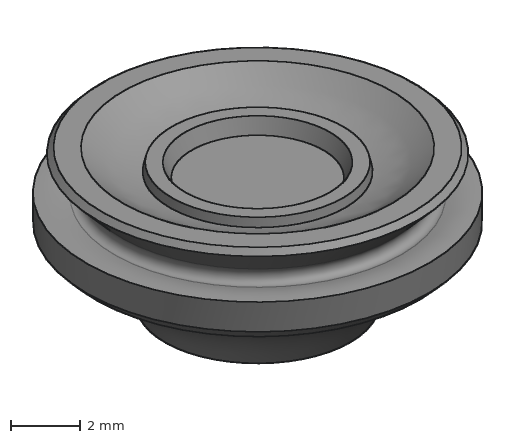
import cadquery as cq
import math

flange_radius = 6.5
total_height = 5.2

foot_radius = 3.51
flare_radius = 6.14
flare_sagitta = 0.36

crown_sagitta = 0.05
flange_top = 3.72
flange_thickness = 0.99
flange_chamfer = flange_radius - flare_radius
flange_bottom = flange_top - flange_thickness
flare_top = flange_bottom - flange_chamfer

groove_radius = 5.08
groove_fillet = 0.27
groove_outer_radius = 5.43
lip_radius = 6.1
lip_chamfer = 0.2
lip_edge_height = total_height - lip_chamfer

fillet_center_radius = groove_radius + groove_fillet
lip_cone_radius = fillet_center_radius - groove_fillet * math.sqrt(0.5)
lip_cone_start = lip_edge_height - (lip_radius - lip_cone_radius)
fillet_center_height = lip_cone_start - groove_fillet * math.sqrt(0.5)
groove_outer_height = fillet_center_height - math.sqrt(
    groove_fillet**2 - (groove_outer_radius - fillet_center_radius) ** 2
)

dish_radius = 5.11
dish_sagitta = 0.14
ring_base_radius = 3.33
ring_top_radius = 3.25
ring_base_height = 4.41
ring_top_height = 4.7
recess_top_radius = 2.74
recess_floor_radius = 2.5
recess_floor_height = 4.2


def bowed_midpoint(start, end, sagitta):
    """Point on an arc, offset by sagitta to the left of the chord middle."""
    run = end[0] - start[0]
    rise = end[1] - start[1]
    chord = math.hypot(run, rise)
    return (
        (start[0] + end[0]) / 2 - sagitta * rise / chord,
        (start[1] + end[1]) / 2 + sagitta * run / chord,
    )


foot_edge = (foot_radius, 0)
flare_edge = (flare_radius, flare_top)
dish_edge = (dish_radius, total_height)
ring_base = (ring_base_radius, ring_base_height)

flange_edge = (flange_radius, flange_top)
groove_outer_edge = (groove_outer_radius, groove_outer_height)
groove_root = (groove_radius, fillet_center_height)
lip_cone_edge = (lip_cone_radius, lip_cone_start)


def groove_point(angle):
    """Point on the groove circle at an angle in degrees from the +X direction."""
    return (
        fillet_center_radius + groove_fillet * math.cos(math.radians(angle)),
        fillet_center_height + groove_fillet * math.sin(math.radians(angle)),
    )


profile = (
    cq.Workplane("XZ")
    .lineTo(*foot_edge)
    .threePointArc(bowed_midpoint(foot_edge, flare_edge, flare_sagitta), flare_edge)
    .lineTo(flange_radius, flange_bottom)
    .lineTo(*flange_edge)
    .threePointArc(bowed_midpoint(flange_edge, groove_outer_edge, -crown_sagitta), groove_outer_edge)
    .threePointArc(groove_point(225), groove_root)
    .threePointArc(groove_point(157.5), lip_cone_edge)
    .lineTo(lip_radius, lip_edge_height)
    .lineTo(lip_radius - lip_chamfer, total_height)
    .lineTo(*dish_edge)
    .threePointArc(bowed_midpoint(dish_edge, ring_base, dish_sagitta), ring_base)
    .lineTo(ring_top_radius, ring_top_height)
    .lineTo(recess_top_radius, ring_top_height)
    .lineTo(recess_floor_radius, recess_floor_height)
    .lineTo(0, recess_floor_height)
    .close()
)

result = profile.revolve(360, (0, 0, 0), (0, 1, 0))